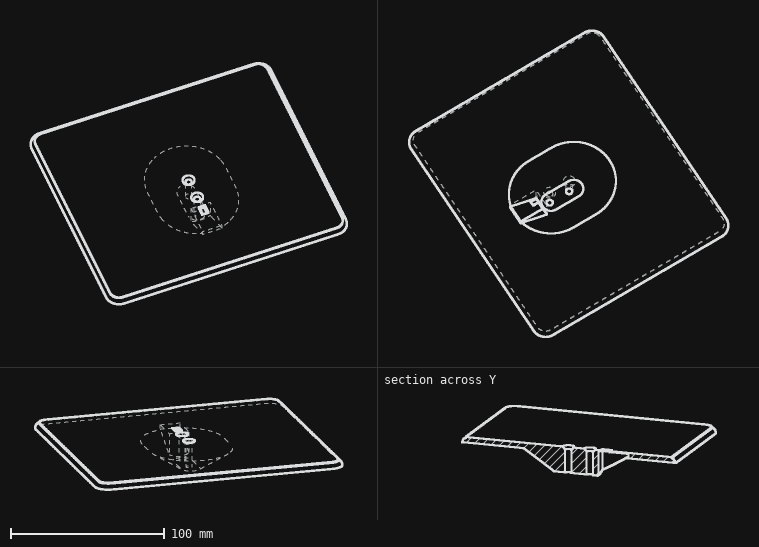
import cadquery as cq
import math

plate_x = 148.4
plate_y = 168.8
plate_thickness = 4.0
corner_radius = 9.1
edge_radius = 3.4
lip_inset = 2.7

first_hole_x = -0.3
hole_pitch = 15.0
second_hole_x = first_hole_x + hole_pitch
hole_diameter = 4.0
countersink_diameter = 7.8
countersink_depth = 2.0

total_height = 17.7
boss_depth = total_height - plate_thickness
boss_center_x = 4.9
boss_spacing = 17.5
boss_top_radius = 27.5
boss_bottom_radius = 6.2

window_x = 25.8
window_length = 4.9
window_width = 2.9
window_bevel = 0.8
channel_start_x = 21.0
channel_width = 13.5
channel_roof_z = 3.0
channel_end_x = boss_center_x + boss_spacing / 2 + boss_top_radius


def rounded_block(inset, bottom_z, top_z):
    """Block with the plate's outline, moved inwards by the inset."""
    return (
        cq.Workplane("XY", origin=(0, 0, bottom_z))
        .rect(plate_x - 2 * inset, plate_y - 2 * inset)
        .extrude(top_z - bottom_z)
        .edges("|Z")
        .fillet(corner_radius - inset)
    )


def make_plate():
    rim = rounded_block(0, -edge_radius, edge_radius).faces(">Z").edges().fillet(edge_radius)
    below = cq.Workplane("XY").box(2 * plate_x, 2 * plate_y, edge_radius, centered=(True, True, False))
    rim = rim.cut(below.translate((0, 0, -edge_radius)))
    return rim.union(rounded_block(lip_inset, 0, plate_thickness))


def make_boss():
    taper = math.degrees(math.atan((boss_top_radius - boss_bottom_radius) / boss_depth))
    return (
        cq.Workplane("XY", origin=(boss_center_x, 0, 0))
        .slot2D(boss_spacing + 2 * boss_top_radius, 2 * boss_top_radius)
        .extrude(-boss_depth, taper=taper)
    )


def make_screw_hole(x):
    shaft = (
        cq.Workplane("XY", origin=(x, 0, -boss_depth))
        .circle(hole_diameter / 2)
        .extrude(total_height)
    )
    countersink = (
        cq.Workplane("XY", origin=(x, 0, plate_thickness))
        .circle(countersink_diameter / 2)
        .workplane(offset=-countersink_depth)
        .circle(hole_diameter / 2)
        .loft()
    )
    return shaft.union(countersink)


def make_window():
    opening = (
        cq.Workplane("XY")
        .rect(window_length, window_width)
        .extrude(plate_thickness)
    )
    bevel = (
        cq.Workplane("XY", origin=(0, 0, plate_thickness))
        .rect(window_length + 2 * window_bevel, window_width + 2 * window_bevel)
        .workplane(offset=-window_bevel)
        .rect(window_length, window_width)
        .loft()
    )
    return opening.union(bevel).translate((window_x, 0, 0))


def make_channel():
    return (
        cq.Workplane("XY", origin=(channel_start_x, 0, -boss_depth))
        .box(
            channel_end_x - channel_start_x,
            channel_width,
            boss_depth + channel_roof_z,
            centered=(False, True, False),
        )
    )


result = make_plate().union(make_boss())
for hole_x in (first_hole_x, second_hole_x):
    result = result.cut(make_screw_hole(hole_x))
result = result.cut(make_channel()).cut(make_window())